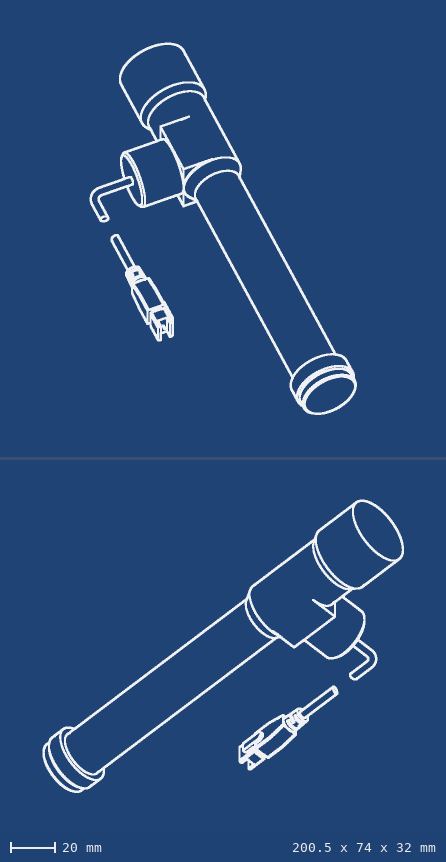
import cadquery as cq
import math

LENGTH = 200.5
HEAD_RADIUS = 16.0
HEAD_END = 23.7
SLEEVE_START = 27.3
SLEEVE_RADIUS = 14.0
SLEEVE_END = 67.8
TUBE_START = 73.2
TUBE_RADIUS = 11.0
COLLAR_START = 188.4
COLLAR_RADIUS = SLEEVE_RADIUS
COLLAR_CHAMFER = 0.8
SPIGOT_START = 196.4
SPIGOT_RADIUS = 13.0
TIP_CHAMFER = 0.6

BRANCH_X = 54.4
BRANCH_RADIUS = 13.0
BRANCH_REACH = 34.0
BRANCH_CHAMFER = 1.0

CABLE_RADIUS = 1.8
CABLE_Y = -53.8
BEND_RADIUS = 4.8
LEAD_END = 69.2
PLUG_CABLE_START = 80.8
CUT_SLANT = 0.8

RELIEF_START = 101.5
RELIEF_START_RADIUS = 3.5
RELIEF_END_RADIUS = 3.8
RELIEF_SLOT_WIDTH = 0.8
RELIEF_WEB = 3.2
SLOT_PITCH = 2.2
FIRST_SLOT_X = 103.3
SLOT_PAIRS = 3

GRIP_START = 110.0
GRIP_TAPER_END = 118.4
GRIP_END = 127.5
GRIP_NOSE_HALF_HEIGHT = 3.5
GRIP_HALF_HEIGHT = 5.2
GRIP_HALF_WIDTH = 4.2
BEVEL_WIDTH = 0.6
BEVEL_DEPTH = 0.2

NECK_HALF_WIDTH = 2.2
NECK_HALF_HEIGHT = 4.0
CONNECTOR_START = 129.4
CONNECTOR_FLOOR = 134.8
CONNECTOR_END = 138.2
CONNECTOR_HALF_WIDTH = 3.6
CONNECTOR_HALF_HEIGHT = GRIP_HALF_HEIGHT
CONNECTOR_CHAMFER = 0.6
PRONG_THICKNESS = 1.5
PIN_DIAMETER = 0.5
PIN_LENGTH = 1.8
PIN_OFFSET = 0.5

LATCH_START = 122.5
LATCH_END = 134.2
LATCH_HALF_HEIGHT = 2.5
LATCH_TOP = 5.5
LATCH_CORNER_CHAMFER = 1.8


def box(x_range, y_range, z_range):
    """Axis-aligned block between the given limits."""
    spans = [high - low for low, high in (x_range, y_range, z_range)]
    corner = (x_range[0], y_range[0], z_range[0])
    return cq.Workplane("XY").box(*spans, centered=False).translate(corner)


def rod(start, end, radius):
    """Round bar along the cable line, from X = start to X = end."""
    return cq.Workplane("YZ", origin=(start, CABLE_Y, 0)).circle(radius).extrude(end - start)


def beyond_oblique_cut(cut_x, far_x):
    """Block from a slanted plane through cut_x out to far_x, used to trim a cable end.

    The plane slants so that the cable is longer on its +Y side than on its -Y side.
    """
    margin = 2 * CABLE_RADIUS
    slope = math.copysign(CUT_SLANT / (2 * CABLE_RADIUS), far_x - cut_x)
    return (
        cq.Workplane("XY", origin=(0, CABLE_Y, -margin))
        .moveTo(cut_x - slope * margin, -margin)
        .lineTo(far_x, -margin)
        .lineTo(far_x, margin)
        .lineTo(cut_x + slope * margin, margin)
        .close()
        .extrude(2 * margin)
    )


def make_housing():
    stepped_tube = (
        cq.Workplane("XY")
        .polyline([
            (0, 0),
            (0, HEAD_RADIUS),
            (HEAD_END, HEAD_RADIUS),
            (SLEEVE_START, SLEEVE_RADIUS),
            (SLEEVE_END, SLEEVE_RADIUS),
            (TUBE_START, TUBE_RADIUS),
            (COLLAR_START, TUBE_RADIUS),
            (COLLAR_START, COLLAR_RADIUS),
            (SPIGOT_START - COLLAR_CHAMFER, COLLAR_RADIUS),
            (SPIGOT_START, COLLAR_RADIUS - COLLAR_CHAMFER),
            (SPIGOT_START, SPIGOT_RADIUS),
            (LENGTH - TIP_CHAMFER, SPIGOT_RADIUS),
            (LENGTH, SPIGOT_RADIUS - TIP_CHAMFER),
            (LENGTH, 0),
        ])
        .close()
        .revolve(360, (0, 0, 0), (1, 0, 0))
    )
    saddle = box(
        (BRANCH_X - BRANCH_RADIUS, BRANCH_X + BRANCH_RADIUS),
        (-SLEEVE_RADIUS, 0),
        (-SLEEVE_RADIUS, SLEEVE_RADIUS),
    )
    branch = (
        cq.Workplane("XZ", origin=(BRANCH_X, 0, 0))
        .circle(BRANCH_RADIUS)
        .extrude(BRANCH_REACH)
        .faces("<Y")
        .chamfer(BRANCH_CHAMFER)
    )
    return stepped_tube.union(saddle).union(branch)


def make_lead():
    """Bent cable that leaves the branch and turns towards +X."""
    bend_start_y = CABLE_Y + BEND_RADIUS
    uncut_end = LEAD_END + CUT_SLANT
    path = (
        cq.Workplane("XY")
        .moveTo(BRANCH_X, -BRANCH_REACH)
        .lineTo(BRANCH_X, bend_start_y)
        .radiusArc((BRANCH_X + BEND_RADIUS, CABLE_Y), -BEND_RADIUS)
        .lineTo(uncut_end, CABLE_Y)
    )
    cable = cq.Workplane("XZ", origin=(BRANCH_X, -BRANCH_REACH, 0)).circle(CABLE_RADIUS).sweep(path)
    return cable.cut(beyond_oblique_cut(LEAD_END, uncut_end + CABLE_RADIUS))


def make_plug_cable():
    uncut_start = PLUG_CABLE_START - CUT_SLANT
    cable = rod(uncut_start, RELIEF_START, CABLE_RADIUS)
    return cable.cut(beyond_oblique_cut(PLUG_CABLE_START, uncut_start - CABLE_RADIUS))


def make_strain_relief():
    """Cone with pairs of opposite slots, each pair turned 90 degrees from the last."""
    relief = (
        cq.Workplane("YZ", origin=(RELIEF_START, CABLE_Y, 0))
        .circle(RELIEF_START_RADIUS)
        .workplane(offset=GRIP_START - RELIEF_START)
        .circle(RELIEF_END_RADIUS)
        .loft()
    )
    outside = 2 * RELIEF_END_RADIUS
    inner = RELIEF_WEB / 2
    full = (-outside, outside)
    for index in range(SLOT_PAIRS):
        slot_x = FIRST_SLOT_X + index * SLOT_PITCH
        slot_span = (slot_x - RELIEF_SLOT_WIDTH / 2, slot_x + RELIEF_SLOT_WIDTH / 2)
        for side in ((-outside, -inner), (inner, outside)):
            y_range, z_range = (full, side) if index % 2 == 0 else (side, full)
            relief = relief.cut(box(slot_span, y_range, z_range).translate((0, CABLE_Y, 0)))
    return relief


def grip_outline(plane, inset):
    """Tapered outline of the grip, drawn smaller by inset at the top and bottom."""
    nose = GRIP_NOSE_HALF_HEIGHT - inset
    full = GRIP_HALF_HEIGHT - inset
    return plane.polyline([
        (GRIP_START, -nose),
        (GRIP_TAPER_END, -full),
        (GRIP_END, -full),
        (GRIP_END, full),
        (GRIP_TAPER_END, full),
        (GRIP_START, nose),
    ]).close()


def make_grip():
    """Tapered block with a narrow bevel along its long edges."""
    core_half_width = GRIP_HALF_WIDTH - BEVEL_WIDTH
    center_plane = cq.Workplane("XZ", origin=(0, CABLE_Y, 0))
    core = grip_outline(center_plane, 0).extrude(core_half_width, both=True)
    bevel_base = grip_outline(center_plane.workplane(offset=core_half_width), 0)
    cap = grip_outline(bevel_base.workplane(offset=BEVEL_WIDTH), BEVEL_DEPTH).loft(ruled=True)
    return core.union(cap).union(cap.mirror("XZ", (0, CABLE_Y, 0)))


def make_connector():
    """Neck and end block, with two side prongs and a pin at the open end."""
    neck = box(
        (GRIP_END, CONNECTOR_START),
        (CABLE_Y - NECK_HALF_WIDTH, CABLE_Y + NECK_HALF_WIDTH),
        (-NECK_HALF_HEIGHT, NECK_HALF_HEIGHT),
    )
    block = box(
        (CONNECTOR_START, CONNECTOR_END),
        (CABLE_Y - CONNECTOR_HALF_WIDTH, CABLE_Y + CONNECTOR_HALF_WIDTH),
        (-CONNECTOR_HALF_HEIGHT, CONNECTOR_HALF_HEIGHT),
    ).edges("|X").chamfer(CONNECTOR_CHAMFER)
    opening_half_width = CONNECTOR_HALF_WIDTH - PRONG_THICKNESS
    opening = box(
        (CONNECTOR_FLOOR, CONNECTOR_END),
        (CABLE_Y - opening_half_width, CABLE_Y + opening_half_width),
        (-CONNECTOR_HALF_HEIGHT, CONNECTOR_HALF_HEIGHT),
    )
    pin = rod(CONNECTOR_FLOOR, CONNECTOR_FLOOR + PIN_LENGTH, PIN_DIAMETER / 2)
    return block.cut(opening).union(neck).union(pin.translate((0, PIN_OFFSET, 0)))


def make_latch():
    """Flat tongue on the +Y side, with a rib under it that fills the neck gap."""
    z_range = (-LATCH_HALF_HEIGHT, LATCH_HALF_HEIGHT)
    tongue = (
        box((LATCH_START, LATCH_END), (CABLE_Y + CONNECTOR_HALF_WIDTH, CABLE_Y + LATCH_TOP), z_range)
        .edges("|Y and <X")
        .chamfer(LATCH_CORNER_CHAMFER)
    )
    rib = box(
        (GRIP_END, CONNECTOR_START),
        (CABLE_Y + NECK_HALF_WIDTH, CABLE_Y + CONNECTOR_HALF_WIDTH),
        z_range,
    )
    return tongue.union(rib)


def make_plug():
    plug = make_plug_cable()
    for part in (make_strain_relief(), make_grip(), make_connector(), make_latch()):
        plug = plug.union(part)
    return plug


housing = make_housing()
lead = make_lead()
plug = make_plug()

result = cq.Compound.makeCompound([housing.val(), lead.val(), plug.val()])